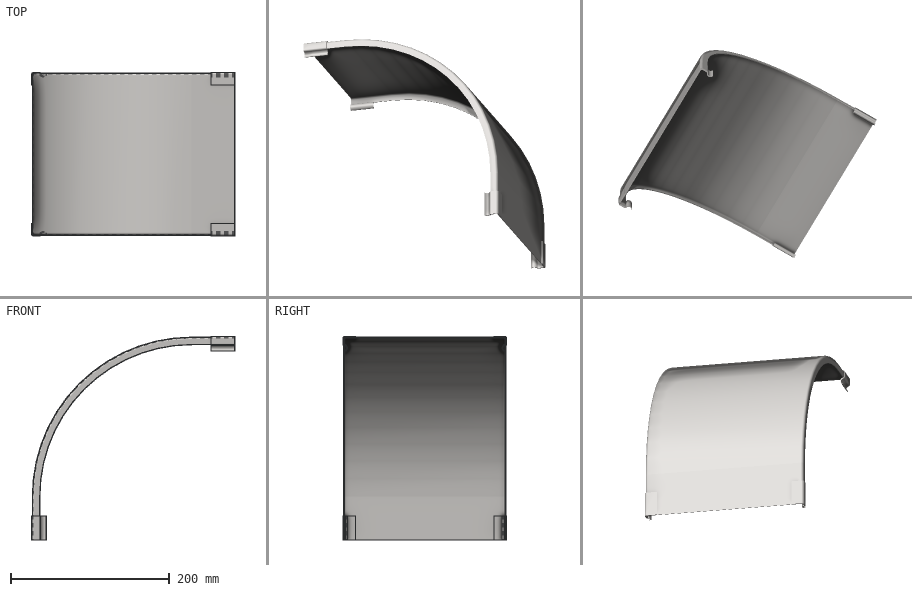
import cadquery as cq

cover_width = 204.4
bend_radius = 201.0
flange_height = 9.6
sheet_thickness = 1.0
edge_radius = 3.0
upper_arm_length = 54.5
lower_arm_length = 54.9
bend_angle = 90.0

clip_thickness = 1.0
clip_length = 30.5
clip_top_width = 16.0
clip_edge_radius = edge_radius
hook_radius = 2.2
lip_height = 7.2
lip_depth = 2.4

half_width = cover_width / 2
cover_bottom = bend_radius - flange_height
inner_edge_radius = edge_radius - sheet_thickness
swap_axis = cq.Vector(1, 0, -1)


def to_lower_arm(body):
    return body.rotate(cq.Vector(0, 0, 0), swap_axis, 180)


def rounded_block(half_span, top, bottom, corner_radius, length):
    """Bar along +X from x = 0, rounded along its two upper edges."""
    return (
        cq.Workplane("YZ")
        .moveTo(-half_span, bottom)
        .lineTo(-half_span, top - corner_radius)
        .radiusArc((-half_span + corner_radius, top), corner_radius)
        .lineTo(half_span - corner_radius, top)
        .radiusArc((half_span, top - corner_radius), corner_radius)
        .lineTo(half_span, bottom)
        .close()
        .extrude(length)
    )


def cover_arm(length):
    outside = rounded_block(half_width, bend_radius, cover_bottom, edge_radius, length)
    inside = rounded_block(
        half_width - sheet_thickness,
        bend_radius - sheet_thickness,
        cover_bottom,
        inner_edge_radius,
        length,
    )
    return outside.cut(inside)


def make_cover():
    upper_arm = cover_arm(upper_arm_length)
    lower_arm = to_lower_arm(cover_arm(lower_arm_length))
    section = upper_arm.faces("<X").val()
    bend = cq.Workplane(
        cq.Solid.revolve(section, -bend_angle, cq.Vector(0, 0, 0), cq.Vector(0, 1, 0))
    )
    return bend.union(upper_arm, clean=False).union(lower_arm, clean=False)


def make_clip(side, arm_length):
    """Clip at the end of the upper arm; side is +1 or -1 for the edge of the cover it grips."""
    outer_y = half_width + clip_thickness
    top = bend_radius + clip_thickness
    inner_radius = clip_edge_radius - clip_thickness
    top_edge_y = outer_y - clip_top_width
    hook_bottom = cover_bottom - clip_thickness
    lip_y = outer_y - hook_radius
    lip_bottom = cover_bottom - lip_height - clip_thickness
    lip_middle = (hook_bottom + lip_bottom) / 2
    inner_lip_y = lip_y - clip_thickness
    profile = (
        cq.Workplane("YZ", origin=(arm_length - clip_length, 0, 0))
        .moveTo(top_edge_y, bend_radius)
        .lineTo(top_edge_y, top)
        .lineTo(outer_y - clip_edge_radius, top)
        .radiusArc((outer_y, top - clip_edge_radius), clip_edge_radius)
        .lineTo(outer_y, hook_bottom + hook_radius)
        .radiusArc((lip_y, hook_bottom), hook_radius)
        .threePointArc((lip_y - lip_depth, lip_middle), (lip_y, lip_bottom))
        .lineTo(inner_lip_y, lip_bottom)
        .threePointArc((inner_lip_y - lip_depth, lip_middle), (inner_lip_y, cover_bottom))
        .lineTo(half_width, cover_bottom)
        .lineTo(half_width, bend_radius - inner_radius)
        .radiusArc((half_width - inner_radius, bend_radius), -inner_radius)
        .close()
    )
    clip = profile.extrude(clip_length)
    if side < 0:
        clip = clip.mirror("XZ")
    return clip


cover = make_cover()
bodies = [cover.val()]
for edge_side in (1, -1):
    upper_clip = make_clip(edge_side, upper_arm_length)
    lower_clip = to_lower_arm(make_clip(edge_side, lower_arm_length))
    bodies.append(upper_clip.val())
    bodies.append(lower_clip.val())

result = cq.Compound.makeCompound(bodies)